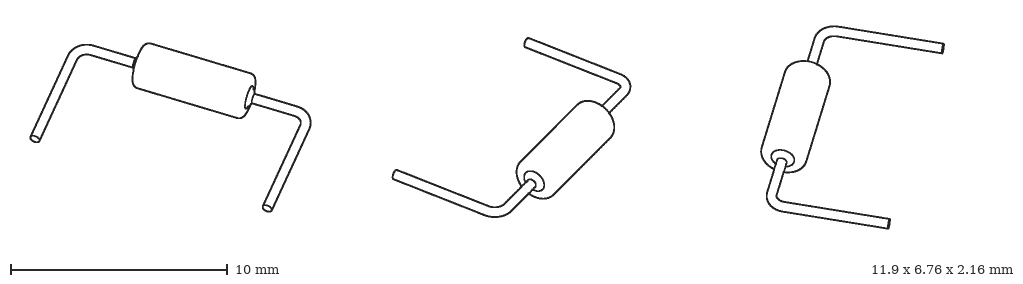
import cadquery as cq

span = 11.89
lead_diameter = 0.46
leg_end_depth = 5.68
bend_radius = 0.7

body_diameter = 2.16
body_length = 5.42
edge_radius = 0.26
cone_base_radius = 0.55
cone_length = 0.21

lead_radius = lead_diameter / 2
leg_x = span / 2 - lead_radius
body_radius = body_diameter / 2


def make_body():
    """Cylinder with rounded rims."""
    body = cq.Workplane("YZ", origin=(-body_length / 2, 0, 0)).circle(body_radius).extrude(body_length)
    return body.edges("%CIRCLE").fillet(edge_radius)


def make_end_cones():
    """Both tapered collars, as one revolved profile running through the body."""
    base_x = body_length / 2
    tip_x = base_x + cone_length
    profile = cq.Workplane("XY").polyline([
        (-tip_x, 0),
        (-tip_x, lead_radius),
        (-base_x, cone_base_radius),
        (base_x, cone_base_radius),
        (tip_x, lead_radius),
        (tip_x, 0),
    ]).close()
    return profile.revolve(360, (0, 0, 0), (1, 0, 0))


def make_leads():
    """One wire through the body axis, bent at both ends into parallel legs."""
    bend_x = leg_x - bend_radius
    bend_middle = bend_radius * 0.5 ** 0.5
    path = (
        cq.Workplane("XY")
        .moveTo(-leg_x, -leg_end_depth)
        .lineTo(-leg_x, -bend_radius)
        .threePointArc((-bend_x - bend_middle, bend_middle - bend_radius), (-bend_x, 0))
        .lineTo(bend_x, 0)
        .threePointArc((bend_x + bend_middle, bend_middle - bend_radius), (leg_x, -bend_radius))
        .lineTo(leg_x, -leg_end_depth)
    )
    section = cq.Workplane("XZ", origin=(-leg_x, -leg_end_depth, 0)).circle(lead_radius)
    return section.sweep(path)


result = make_body().union(make_end_cones()).union(make_leads())